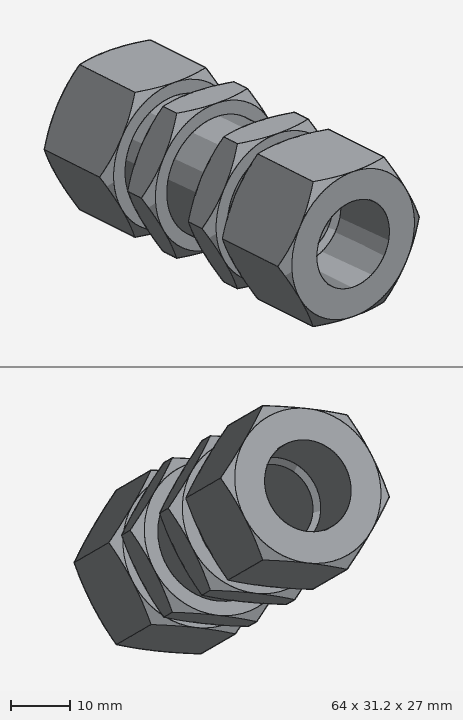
import cadquery as cq
import math


total_length = 64.0
across_flats = 27.0
nut_length = 17.0
thin_hex_length = 6.0
locknut_gap = 5.0
collar_gap = 10.0
barrel_diameter = 22.0
tube_diameter = 16.0
bore_diameter = 14.0
socket_depth = 12.8
seat_half_angle = 45.0
chamfer_angle = 30.0

across_corners = across_flats / math.cos(math.radians(30))
half_length = total_length / 2
locknut_start = -half_length + nut_length + locknut_gap
right_nut_start = half_length - nut_length
collar_start = locknut_start + thin_hex_length + collar_gap
barrel_length = total_length - 2 * nut_length
seat_length = (tube_diameter - bore_diameter) / 2 / math.tan(math.radians(seat_half_angle))


def cylinder(start, length, diameter):
    """Round bar along X."""
    return cq.Workplane("YZ", origin=(start, 0, 0)).circle(diameter / 2).extrude(length)


def chamfered_hexagon(start, length):
    """Hexagonal bar along X with its corners turned off conically at both ends."""
    hexagon = cq.Workplane("YZ", origin=(start, 0, 0)).polygon(6, across_corners).extrude(length)
    flat_radius = across_flats / 2
    corner_radius = across_corners / 2
    chamfer_length = (corner_radius - flat_radius) * math.tan(math.radians(chamfer_angle))
    end = start + length
    turned_profile = [
        (start, 0),
        (start, flat_radius),
        (start + chamfer_length, corner_radius),
        (end - chamfer_length, corner_radius),
        (end, flat_radius),
        (end, 0),
    ]
    turned = cq.Workplane("XY").polyline(turned_profile).close().revolve(360, (0, 0, 0), (1, 0, 0))
    return hexagon.intersect(turned)


def stepped_passage():
    """Through passage that widens over a conical seat to a tube socket at each end."""
    socket_end = half_length - socket_depth
    seat_end = socket_end - seat_length
    tube_radius = tube_diameter / 2
    bore_radius = bore_diameter / 2
    profile = [
        (-half_length, 0),
        (-half_length, tube_radius),
        (-socket_end, tube_radius),
        (-seat_end, bore_radius),
        (seat_end, bore_radius),
        (socket_end, tube_radius),
        (half_length, tube_radius),
        (half_length, 0),
    ]
    return cq.Workplane("XY").polyline(profile).close().revolve(360, (0, 0, 0), (1, 0, 0))


def make_coupling():
    """Barrel with an end nut at each end, the fixed collar and the passage."""
    coupling = cylinder(-half_length + nut_length, barrel_length, barrel_diameter)
    for nut_start in (-half_length, right_nut_start):
        coupling = coupling.union(chamfered_hexagon(nut_start, nut_length))
    coupling = coupling.union(chamfered_hexagon(collar_start, thin_hex_length))
    return coupling.cut(stepped_passage())


def make_locknut():
    """Thin hexagon nut whose hole fits the barrel."""
    blank = chamfered_hexagon(locknut_start, thin_hex_length)
    return blank.cut(cylinder(locknut_start, thin_hex_length, barrel_diameter))


coupling = make_coupling()
locknut = make_locknut()

result = cq.Compound.makeCompound([coupling.solids().val(), locknut.solids().val()])